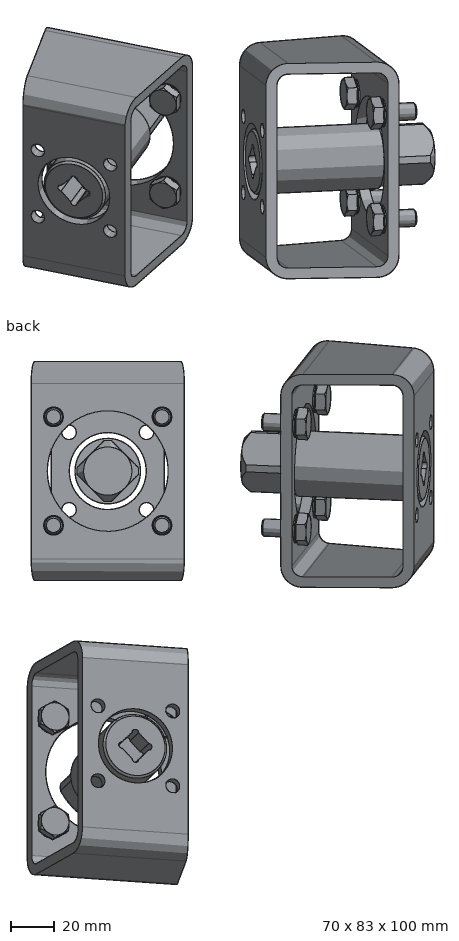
import cadquery as cq
import math

HEIGHT = 100.0
DEPTH = 60.0
REAR_WIDTH = 70.0
FRONT_WIDTH = 50.0
WALL = 5.0
OUTER_RADIUS = 10.0
INNER_RADIUS = OUTER_RADIUS - WALL
REAR_OPENING_DIA = 55.0
FRONT_OPENING_DIA = 35.0
FRONT_HOLE_DIA = 6.5
FRONT_HOLE_CIRCLE_DIA = 50.0
BOLT_HOLE_DIA = 9.0
BOLT_CIRCLE_DIA = 70.0
CORNER_ANGLES = [45, 135, 225, 315]

BARREL_DIA = 30.0
BARREL_FRONT_Y = -DEPTH
BARREL_REAR_Y = -2.0
BARREL_CHAMFER = 1.0
DRIVE_SQUARE = 22.0
DRIVE_CORNER_DIA = 28.0
DRIVE_END_Y = 23.0
DRIVE_CHAMFER = 3.0
SOCKET_SQUARE = 11.0
SOCKET_DEPTH = 15.0
RELIEF_DIA = 3.0
RELIEF_CIRCLE_DIA = 12.6

BEARING_DIA = 11.6
WASHER_DIA = 13.0
WASHER_BORE = 8.4
WASHER_THICKNESS = 0.8
WASHER_RIM_THICKNESS = 0.6

BOLT_DIA = 8.0
BOLT_LENGTH = 16.0
BOLT_TIP_DIA = 6.5
BOLT_TIP_CHAMFER = (BOLT_DIA - BOLT_TIP_DIA) / 2
HEAD_FLATS = 13.0
HEAD_HEIGHT = 5.3
HEAD_CORNERS = HEAD_FLATS / math.cos(math.radians(30))
HEAD_CROWN_DIA = HEAD_FLATS
HEAD_CROWN_ANGLE = 30.0
BEARING_THICKNESS = 0.4

SEAT_Y = -WALL


def plane_at(y):
    """XZ plane at the given Y, with local axes along X and Z, extruding toward -Y."""
    return cq.Workplane("XZ", origin=(0, y, 0))


def circle_points(diameter):
    """Four points (X, Z) on the diagonals of a circle around the Y axis."""
    radius = diameter / 2
    return [
        (radius * math.cos(math.radians(angle)), radius * math.sin(math.radians(angle)))
        for angle in CORNER_ANGLES
    ]


def revolve_y(profile):
    """Revolve a closed (radius, Y) outline around the Y axis."""
    return cq.Workplane("XY").polyline(profile).close().revolve(360, (0, 0), (0, 1))


def make_housing():
    strap_shape = [
        (-REAR_WIDTH / 2, 0),
        (REAR_WIDTH / 2, 0),
        (FRONT_WIDTH / 2, -DEPTH),
        (-FRONT_WIDTH / 2, -DEPTH),
    ]
    block = cq.Workplane("XY").polyline(strap_shape).close().extrude(HEIGHT / 2, both=True)
    ring = (
        cq.Workplane("YZ", origin=(0, -DEPTH / 2, 0))
        .rect(DEPTH, HEIGHT)
        .extrude(REAR_WIDTH / 2, both=True)
        .edges("|X")
        .fillet(OUTER_RADIUS)
    )
    cavity = (
        cq.Workplane("YZ", origin=(0, -DEPTH / 2, 0))
        .rect(DEPTH - 2 * WALL, HEIGHT - 2 * WALL)
        .extrude(REAR_WIDTH / 2, both=True)
        .edges("|X")
        .fillet(INNER_RADIUS)
    )
    front_inner = plane_at(WALL - DEPTH)
    front_opening = front_inner.circle(FRONT_OPENING_DIA / 2).extrude(WALL)
    front_places = circle_points(FRONT_HOLE_CIRCLE_DIA)
    front_holes = front_inner.pushPoints(front_places).circle(FRONT_HOLE_DIA / 2).extrude(WALL)
    rear_opening = plane_at(0).circle(REAR_OPENING_DIA / 2).extrude(WALL)
    bolt_places = circle_points(BOLT_CIRCLE_DIA)
    bolt_holes = plane_at(0).pushPoints(bolt_places).circle(BOLT_HOLE_DIA / 2).extrude(WALL)
    housing = ring.intersect(block).cut(cavity)
    return housing.cut(front_opening).cut(front_holes).cut(rear_opening).cut(bolt_holes)


def make_socket():
    front = plane_at(BARREL_FRONT_Y + SOCKET_DEPTH)
    square = front.transformed(rotate=(0, 0, 45)).rect(SOCKET_SQUARE, SOCKET_SQUARE).extrude(SOCKET_DEPTH)
    reliefs = front.polarArray(RELIEF_CIRCLE_DIA / 2, 0, 360, 4).circle(RELIEF_DIA / 2).extrude(SOCKET_DEPTH)
    return square.union(reliefs)


def make_spindle():
    barrel = plane_at(BARREL_REAR_Y).circle(BARREL_DIA / 2).extrude(BARREL_REAR_Y - BARREL_FRONT_Y)
    barrel = barrel.faces("<Y").chamfer(BARREL_CHAMFER)
    drive_length = DRIVE_END_Y - BARREL_REAR_Y
    square = (
        plane_at(DRIVE_END_Y)
        .transformed(rotate=(0, 0, 45))
        .rect(DRIVE_SQUARE, DRIVE_SQUARE)
        .extrude(drive_length)
    )
    envelope = plane_at(DRIVE_END_Y).circle(DRIVE_CORNER_DIA / 2).extrude(drive_length)
    envelope = envelope.faces(">Y").chamfer(DRIVE_CHAMFER)
    return barrel.union(square.intersect(envelope)).cut(make_socket())


def make_washer(x, z):
    top_y = SEAT_Y - WASHER_THICKNESS
    rim_y = SEAT_Y - WASHER_RIM_THICKNESS
    ring = revolve_y([
        (WASHER_BORE / 2, SEAT_Y),
        (WASHER_DIA / 2, SEAT_Y),
        (WASHER_DIA / 2, rim_y),
        (BEARING_DIA / 2, top_y),
        (WASHER_BORE / 2, top_y),
    ])
    return ring.translate((x, 0, z))


def make_bolt(x, z):
    bearing_y = SEAT_Y - WASHER_THICKNESS
    hex_y = bearing_y - BEARING_THICKNESS
    crown_y = bearing_y - HEAD_HEIGHT
    hexagon = (
        plane_at(hex_y)
        .transformed(rotate=(0, 0, 90))
        .polygon(6, HEAD_CORNERS)
        .extrude(hex_y - crown_y)
    )
    crown_drop = (HEAD_CORNERS - HEAD_CROWN_DIA) / 2 * math.tan(math.radians(HEAD_CROWN_ANGLE))
    crown_envelope = revolve_y([
        (0, crown_y),
        (HEAD_CROWN_DIA / 2, crown_y),
        (HEAD_CORNERS / 2, crown_y + crown_drop),
        (HEAD_CORNERS / 2, hex_y),
        (0, hex_y),
    ])
    bearing = plane_at(bearing_y).circle(BEARING_DIA / 2).extrude(BEARING_THICKNESS)
    shank = plane_at(bearing_y + BOLT_LENGTH).circle(BOLT_DIA / 2).extrude(BOLT_LENGTH)
    shank = shank.faces(">Y").chamfer(BOLT_TIP_CHAMFER)
    bolt = hexagon.intersect(crown_envelope).union(bearing).union(shank)
    return bolt.translate((x, 0, z))


housing = make_housing()
spindle = make_spindle()
washers = [make_washer(x, z) for x, z in circle_points(BOLT_CIRCLE_DIA)]
bolts = [make_bolt(x, z) for x, z in circle_points(BOLT_CIRCLE_DIA)]

result = cq.Compound.makeCompound(
    [housing.val(), spindle.val()]
    + [washer.val() for washer in washers]
    + [bolt.val() for bolt in bolts]
)